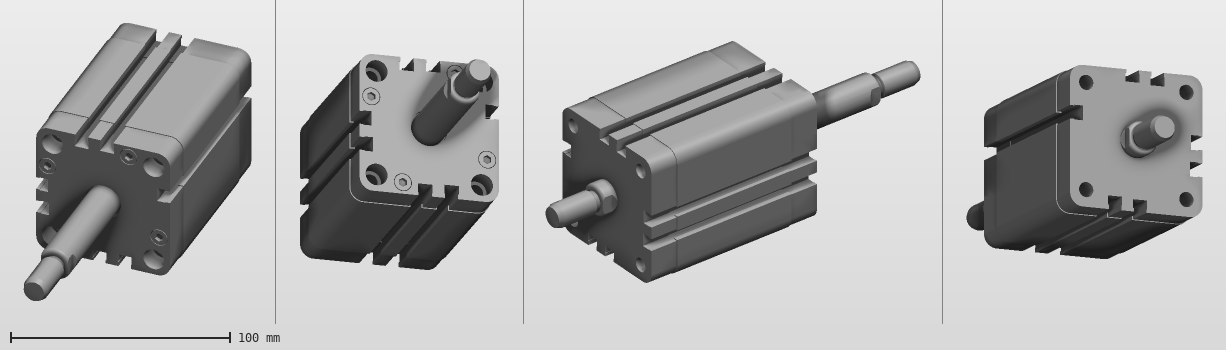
import cadquery as cq
import math


OVERALL_LENGTH = 208.5

TUBE_SIZE = 67.0
CAP_SIZE = 66.0
CORNER_RADIUS = 6.7
HOUSING_LENGTH = 95.5
FRONT_CAP_LENGTH = 15.0
REAR_CAP_LENGTH = 14.5
TUBE_LENGTH = HOUSING_LENGTH - FRONT_CAP_LENGTH - REAR_CAP_LENGTH

OUTER_SLOT = (-10.6, 26.7)
INNER_SLOT = (1.9, 27.3)
SLOT_CAVITY_WIDTH = 6.9
SLOT_CAVITY_HEIGHT = 4.2
TUBE_SLOT_MOUTH = 5.2
TUBE_SLOT_EXTRA_DEPTH = 0.5
CAP_SLOT_MOUTH = 6.3
SLOTS_BY_SIDE = {
    0: (OUTER_SLOT, INNER_SLOT),
    90: (OUTER_SLOT, INNER_SLOT),
    180: (OUTER_SLOT, INNER_SLOT),
    270: (OUTER_SLOT,),
}

MOUNT_PITCH = 50.0
MOUNT_HOLE_DIAMETER = 7.0
MOUNT_BORE_DIAMETER = 10.5
MOUNT_BORE_DEPTH = 10.5

SCREW_ALONG = 12.5
SCREW_OUT = 27.5
SCREW_RECESS_DIAMETER = 8.5
SCREW_HEAD_DIAMETER = 8.0
SCREW_RECESS_DEPTH = 4.2
SOCKET_ACROSS_FLATS = 3.8
SOCKET_DEPTH = 2.0

ROD_DIAMETER = 16.0
FRONT_ROD_LENGTH = 57.5
ROD_END_LENGTH = 24.0
REAR_ROD_LENGTH = OVERALL_LENGTH - HOUSING_LENGTH - FRONT_ROD_LENGTH - 2 * ROD_END_LENGTH
ROD_EDGE_RADIUS = 1.9
NECK_DIAMETER = 10.0
NECK_LENGTH = 2.3
THREAD_DIAMETER = 12.0
THREAD_RUNOUT_LENGTH = 0.6
THREAD_TIP_LENGTH = 2.7
FLAT_ACROSS = 13.3
FLAT_LENGTH = 5.5
FLAT_RUNOUT_LENGTH = 1.9
ROD_GROOVE_DIAMETER = 17.5
ROD_GROOVE_DEPTH = 2.0


def section_plane(y):
    """XZ plane at Y = y, whose extrusions run towards +Y and whose local axes are -X and Z."""
    return cq.Workplane(cq.Plane(origin=(0, y, 0), xDir=(-1, 0, 0), normal=(0, 1, 0)))


def turn(shape, angle):
    """Turn about Y, from +Z towards -X."""
    return shape.rotate((0, 0, 0), (0, -1, 0), angle)


def block(x, width, bottom, top, start, length):
    """Rectangular bar along Y, centred on x and standing between two heights."""
    bar = cq.Workplane("XY").box(width, length, top - bottom, centered=(True, False, False))
    return bar.translate((x, start, bottom))


def housing_section(size, slot_mouth, extra_depth, start, length):
    """Rounded square bar with T-slots along its sides."""
    edge_radius = CORNER_RADIUS - (TUBE_SIZE - size) / 2
    section = section_plane(start).rect(size, size).extrude(length).edges("|Y").fillet(edge_radius)
    for angle, slots in SLOTS_BY_SIDE.items():
        for offset, cap_floor in slots:
            floor = cap_floor - extra_depth
            cavity = block(offset, SLOT_CAVITY_WIDTH, floor, cap_floor + SLOT_CAVITY_HEIGHT, start, length)
            mouth = block(offset, slot_mouth, floor, TUBE_SIZE, start, length)
            section = section.cut(turn(cavity.union(mouth), angle))
    return section


def mounting_holes():
    """Through holes in the corners, counterbored from the front."""
    corners = section_plane(0).rect(MOUNT_PITCH, MOUNT_PITCH, forConstruction=True).vertices()
    holes = corners.circle(MOUNT_HOLE_DIAMETER / 2).extrude(HOUSING_LENGTH)
    bores = corners.circle(MOUNT_BORE_DIAMETER / 2).extrude(MOUNT_BORE_DEPTH)
    return holes.union(bores)


def screw_cuts():
    """Ring gap around each flush screw head, and the hexagon socket with corners up and down."""
    corner_radius = SOCKET_ACROSS_FLATS / math.sqrt(3)
    hexagon = [
        (corner_radius * math.sin(math.radians(a)), corner_radius * math.cos(math.radians(a)))
        for a in range(0, 360, 60)
    ]
    ring = (
        section_plane(0)
        .circle(SCREW_RECESS_DIAMETER / 2)
        .circle(SCREW_HEAD_DIAMETER / 2)
        .extrude(SCREW_RECESS_DEPTH)
    )
    screw = ring.union(section_plane(0).polyline(hexagon).close().extrude(SOCKET_DEPTH))
    places = (
        (SCREW_ALONG, SCREW_OUT),
        (-SCREW_OUT, SCREW_ALONG),
        (-SCREW_ALONG, -SCREW_OUT),
        (SCREW_OUT, -SCREW_ALONG),
    )
    cuts = cq.Workplane("XY")
    for x, z in places:
        cuts = cuts.union(screw.translate((x, 0, z)))
    return cuts


def rod_groove():
    """Ring gap in the front face around the rod."""
    return section_plane(0).circle(ROD_GROOVE_DIAMETER / 2).circle(ROD_DIAMETER / 2).extrude(ROD_GROOVE_DEPTH)


def rod_half(length):
    """Rod growing from Y = 0 towards -Y: plain part, wrench flats, neck and thread."""
    rod_radius = ROD_DIAMETER / 2
    neck_radius = NECK_DIAMETER / 2
    thread_radius = THREAD_DIAMETER / 2
    neck_end = length + NECK_LENGTH
    tip = length + ROD_END_LENGTH
    edge_middle = ROD_EDGE_RADIUS * math.sqrt(0.5)
    edge_x = rod_radius - ROD_EDGE_RADIUS
    edge_y = -(length - ROD_EDGE_RADIUS)
    rod = (
        cq.Workplane("XY")
        .lineTo(rod_radius, 0)
        .lineTo(rod_radius, edge_y)
        .threePointArc((edge_x + edge_middle, edge_y - edge_middle), (edge_x, -length))
        .lineTo(neck_radius, -length)
        .lineTo(neck_radius, -neck_end)
        .lineTo(thread_radius, -(neck_end + THREAD_RUNOUT_LENGTH))
        .lineTo(thread_radius, -(tip - THREAD_TIP_LENGTH))
        .lineTo(neck_radius, -tip)
        .lineTo(0, -tip)
        .close()
        .revolve(360, (0, 0, 0), (0, 1, 0))
    )

    flat = FLAT_ACROSS / 2
    flat_start = -(length - FLAT_LENGTH)
    flat_cutter = (
        cq.Workplane("XY")
        .polyline([
            (flat, -length),
            (flat, flat_start),
            (rod_radius, flat_start + FLAT_RUNOUT_LENGTH),
            (ROD_DIAMETER, flat_start + FLAT_RUNOUT_LENGTH),
            (ROD_DIAMETER, -length),
        ])
        .close()
        .extrude(ROD_DIAMETER, both=True)
    )
    return rod.cut(flat_cutter).cut(flat_cutter.mirror("YZ"))


front_cap = housing_section(CAP_SIZE, CAP_SLOT_MOUTH, 0, 0, FRONT_CAP_LENGTH)
tube = housing_section(TUBE_SIZE, TUBE_SLOT_MOUTH, TUBE_SLOT_EXTRA_DEPTH, FRONT_CAP_LENGTH, TUBE_LENGTH)
rear_cap = housing_section(CAP_SIZE, CAP_SLOT_MOUTH, 0, HOUSING_LENGTH - REAR_CAP_LENGTH, REAR_CAP_LENGTH)
housing = front_cap.union(tube).union(rear_cap)
housing = housing.cut(mounting_holes()).cut(screw_cuts()).cut(rod_groove())

front_rod = rod_half(FRONT_ROD_LENGTH)
rear_rod = rod_half(REAR_ROD_LENGTH).mirror("XZ").translate((0, HOUSING_LENGTH, 0))

result = housing.union(front_rod).union(rear_rod)